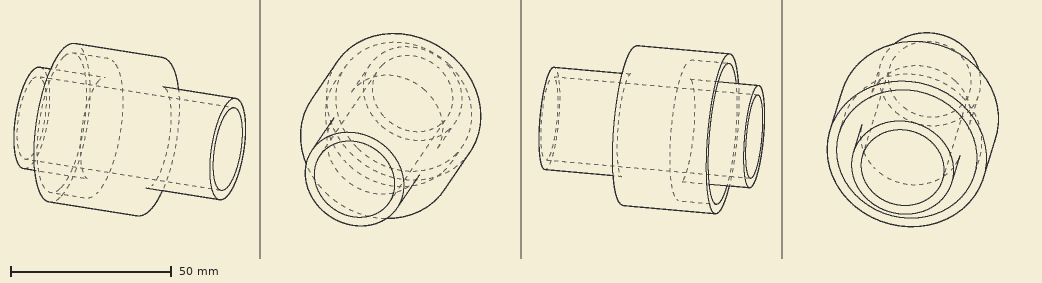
import cadquery as cq

tube_length = 65.0
tube_diameter = 32.0
bore_diameter = 26.0

cup_diameter = 50.0
cup_inner_diameter = 44.0
cup_start = 10.0
cup_length = 29.95
pocket_depth = 12.35
fillet_radius = 1.0

cup_end = cup_start + cup_length
pocket_floor = cup_start + pocket_depth


def cylinder(diameter, start, length):
    """Solid cylinder on the X axis."""
    return cq.Workplane("YZ", origin=(start, 0, 0)).circle(diameter / 2).extrude(length)


def edge_circle(body, diameter, x):
    """Select the circular edge of the given diameter at one X position."""
    margin = fillet_radius / 2
    reach = diameter / 2 + margin
    inside = diameter / 2 - margin
    near = cq.selectors.BoxSelector(
        (x - margin, -reach, -reach), (x + margin, reach, reach), boundingbox=True
    )
    too_small = cq.selectors.BoxSelector(
        (x - margin, -inside, -inside), (x + margin, inside, inside), boundingbox=True
    )
    return body.edges(near - too_small)


cup = cylinder(cup_diameter, cup_start, cup_length)
cup = cup.cut(cylinder(cup_inner_diameter, cup_start, pocket_depth))
body = cup.union(cylinder(tube_diameter, 0, tube_length))

for diameter, x in (
    (cup_diameter, cup_end),
    (tube_diameter, cup_end),
    (cup_inner_diameter, pocket_floor),
    (tube_diameter, pocket_floor),
):
    body = edge_circle(body, diameter, x).fillet(fillet_radius)

result = body.cut(cylinder(bore_diameter, 0, tube_length))